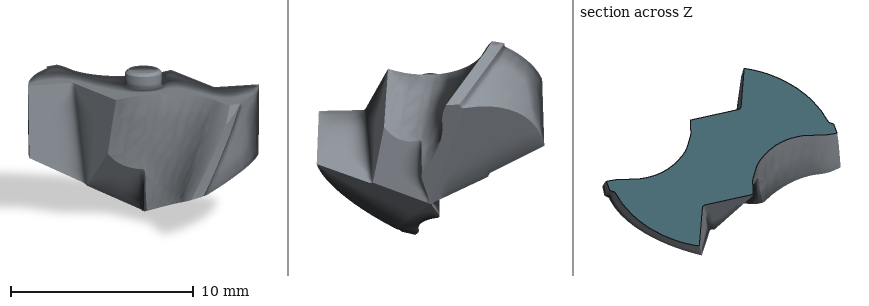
import cadquery as cq
import math


point_depth = 7.11
land_radius = 6.55
helix_angle = 30.0
corner_depth = 4.93
tip_stock = 3.0

land_front_angle = 15.0
land_back_angle = 20.9
step_foot = (5.95, 2.40)
step_bend = (5.86, 2.445)
relief_start = (5.80, 2.53)
relief_mid_radius, relief_mid_angle = 6.31, 58.2
relief_end_radius, relief_end_angle = 6.27, 102.0

lip_bend = (5.72, 1.55)
lip_end = (5.10, 1.53)
flute_mid = (2.98, 0.84)
web_point = (2.06, -0.32)
heel_mid = (1.70, -1.75)
flute_heel = (1.83, -2.97)
blank_corner = (2.2, -4.2)

pocket_wall_y = 2.99
pocket_wall_lean = 0.012
pocket_corner_x = 2.50
pocket_back_slope = 0.35
pocket_back_lean = 0.193
pocket_fillet = 0.2

lip_slope = math.tan(math.radians(20))
primary_slope = math.tan(math.radians(7))
secondary_slope = 0.389

gash_slope_x = 1.047
gash_slope_y = 0.972
gash_wall_end = (1.44, -0.90)
gash_blend_radius = 1.6
gash_fillet = 0.27

bevel_top_x = 6.14
bevel_slope = 0.32
bevel_depth = 3.0

pin_radius = 1.00
pin_height = 0.87
pin_chamfer = 0.15
pin_fillet = 0.13

reach = 10.0
overshoot = 1.0
cutter_depth = 5 * reach

twist_per_mm = math.degrees(math.tan(math.radians(helix_angle)) / land_radius)


def polar(radius, angle):
    a = math.radians(angle)
    return (radius * math.cos(a), radius * math.sin(a))


def opposite(point):
    return (-point[0], -point[1])


def both_sides(cutter):
    return cutter.union(cutter.rotate((0, 0, 0), (0, 0, 1), 180))


def prism(lower, upper):
    """Solid between two matching polygons of 3D points."""
    count = len(lower)
    loops = [lower, upper]
    for i in range(count):
        j = (i + 1) % count
        loops.append([lower[i], lower[j], upper[j], upper[i]])
    faces = []
    for loop in loops:
        wire = cq.Wire.makePolygon([cq.Vector(*p) for p in loop], close=True)
        faces.append(cq.Face.makeFromWires(wire))
    return cq.Workplane(cq.Solid.makeSolid(cq.Shell.makeShell(faces)))


def blank_outline():
    """Two lobes with margin, relief and flute, as they lie in the seat face."""
    outline = cq.Workplane("XY").moveTo(*opposite(blank_corner))
    for place in (lambda p: p, opposite):
        outline = (
            outline
            .lineTo(*place(polar(relief_end_radius, relief_end_angle)))
            .threePointArc(
                place(polar(relief_mid_radius, relief_mid_angle)),
                place(relief_start),
            )
            .threePointArc(place(step_bend), place(step_foot))
            .lineTo(*place(polar(land_radius, land_back_angle)))
            .threePointArc(
                place(polar(land_radius, (land_back_angle + land_front_angle) / 2)),
                place(polar(land_radius, land_front_angle)),
            )
            .threePointArc(place(lip_bend), place(lip_end))
            .threePointArc(place(flute_mid), place(web_point))
            .threePointArc(place(heel_mid), place(flute_heel))
            .lineTo(*place(blank_corner))
        )
    return outline.close()


def twisted_length(length):
    """Blank twisted down the helix from the seat face."""
    return blank_outline().twistExtrude(-length, twist_per_mm * length)


def twisted_blank():
    """Blank in two lengths, which meet at the depth of the outer lip corners."""
    tip_turn = -twist_per_mm * corner_depth
    tip_length = twisted_length(tip_stock).rotate((0, 0, 0), (0, 0, 1), tip_turn)
    return twisted_length(corner_depth).union(tip_length.translate((0, 0, -corner_depth)))


def pocket_cutter():
    """Heel pocket between the flat wall and the leaning back wall."""
    def section(z):
        wall_y = pocket_wall_y + pocket_wall_lean * z
        corner_x = pocket_corner_x + pocket_back_lean * z
        far_y = wall_y + reach
        return [
            (corner_x, wall_y, z),
            (corner_x + pocket_back_slope * reach, far_y, z),
            (-reach, far_y, z),
            (-reach, wall_y, z),
        ]

    cutter = prism(section(-reach), section(overshoot))
    corner = cq.selectors.NearestToPointSelector((pocket_corner_x, pocket_wall_y, 0))
    return cutter.edges(corner).fillet(pocket_fillet)


def flank_cutter(y_far, y_slope):
    """Stock below a flank plane on the -X side, from y = 0 to y_far."""
    def corner(x, y):
        return (x, y, -point_depth - lip_slope * x + y_slope * y)

    upper = [corner(0, 0), corner(-reach, 0), corner(-reach, y_far), corner(0, y_far)]
    lower = [(x, y, -cutter_depth) for x, y, z in upper]
    return prism(lower, upper)


def gash_cutter():
    """Space below the gash floor and in front of the upright gash wall."""
    def floor_point(x, y):
        return (x, y, -point_depth + gash_slope_x * x - gash_slope_y * y)

    end_x, end_y = gash_wall_end
    wall_turn = math.atan2(-end_y, end_x)
    blend_end = (
        end_x + gash_blend_radius * math.sin(wall_turn),
        end_y - gash_blend_radius * (1 - math.cos(wall_turn)),
    )
    wall_start = (-reach, -reach * end_y / end_x)
    front = (
        cq.Workplane("XY", origin=(0, 0, -cutter_depth))
        .moveTo(-reach, -reach)
        .lineTo(*wall_start)
        .lineTo(*gash_wall_end)
        .tangentArcPoint(blend_end, relative=False)
        .lineTo(reach, blend_end[1])
        .lineTo(reach, -reach)
        .close()
        .extrude(2 * cutter_depth)
    )
    span = 2 * reach
    upper = [floor_point(x, y) for x, y in [(-span, -span), (span, -span), (span, span), (-span, span)]]
    lower = [(x, y, -2 * cutter_depth) for x, y, z in upper]
    cutter = front.intersect(prism(lower, upper))
    valley_middle = floor_point((wall_start[0] + end_x) / 2, (wall_start[1] + end_y) / 2)
    valley = cq.selectors.NearestToPointSelector(valley_middle)
    return cutter.edges(valley).fillet(gash_fillet)


def bevel_cutter():
    """Stock outside the bevel plane at the top of the land."""
    foot_x = bevel_top_x + bevel_slope * bevel_depth
    head_x = bevel_top_x - bevel_slope * overshoot
    side = [(head_x, overshoot), (foot_x, -bevel_depth), (reach, -bevel_depth), (reach, overshoot)]
    return cq.Workplane("XZ").polyline(side).close().extrude(reach, both=True)


def centring_pin():
    """Chamfered pin with a filleted foot; a root disc sits inside the head."""
    foot = pin_radius + pin_fillet
    neck = pin_fillet * (1 - math.sqrt(0.5))
    return (
        cq.Workplane("XZ")
        .moveTo(0, -overshoot)
        .lineTo(foot, -overshoot)
        .lineTo(foot, 0)
        .threePointArc((pin_radius + neck, neck), (pin_radius, pin_fillet))
        .lineTo(pin_radius, pin_height - pin_chamfer)
        .lineTo(pin_radius - pin_chamfer, pin_height)
        .lineTo(0, pin_height)
        .close()
        .revolve(360, (0, 0, 0), (0, 1, 0))
    )


head = twisted_blank()
head = head.cut(both_sides(pocket_cutter()))
head = head.cut(both_sides(flank_cutter(-reach, -secondary_slope)))
head = head.cut(both_sides(flank_cutter(reach, -primary_slope)))
head = head.cut(both_sides(gash_cutter()))
head = head.cut(both_sides(bevel_cutter()))
result = head.union(centring_pin())